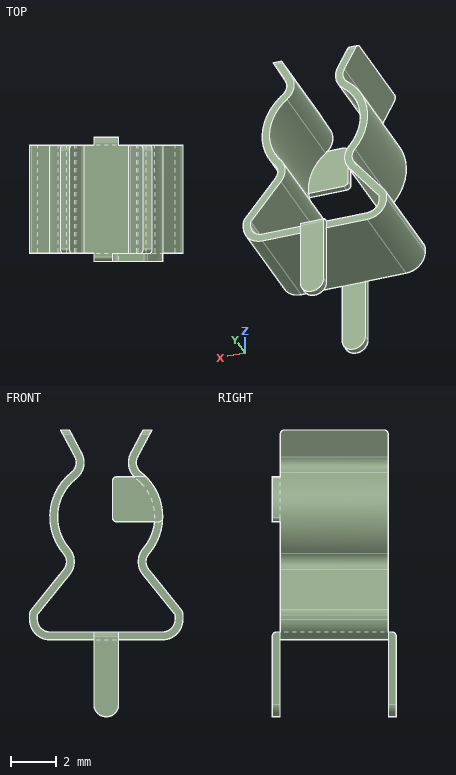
import cadquery as cq
import math

overall_height = 12.7
overall_width = 6.8
overall_depth = 5.5
thickness = 0.35
body_depth = overall_depth - 2 * thickness
edge_radius = 0.2
join_tolerance = 0.0001

pin_width = 1.1
pin_drop = 3.4
clip_top = overall_height - pin_drop

base_radius = 0.91
shoulder_radius = 0.4
neck_radius = 0.55
barrel_radius = 2.5

half_width = overall_width / 2
base_center = (half_width - base_radius, base_radius)
shoulder_center = (half_width - shoulder_radius, 1.1)
barrel_z = 5.45
lower_neck_x = 2.31
upper_neck_x = 1.88
neck_distance = barrel_radius + neck_radius
lower_neck_center = (lower_neck_x, barrel_z - math.sqrt(neck_distance**2 - lower_neck_x**2))
upper_neck_center = (upper_neck_x, barrel_z + math.sqrt(neck_distance**2 - upper_neck_x**2))

lip_tilt = 28.0
lower_neck_angle = math.degrees(math.acos(lower_neck_x / neck_distance))
upper_neck_angle = math.degrees(math.acos(upper_neck_x / neck_distance))
leg_dx = shoulder_center[0] - lower_neck_center[0]
leg_dz = lower_neck_center[1] - shoulder_center[1]
leg_tilt = math.degrees(
    math.atan2(leg_dx, leg_dz)
    + math.asin((shoulder_radius + neck_radius) / math.hypot(leg_dx, leg_dz))
)

tab_left = 0.27
tab_bottom = 5.22
tab_top = 7.23

bends = [
    (base_center, base_radius, -90, 0, 1),
    (shoulder_center, shoulder_radius, 0, leg_tilt, 1),
    (lower_neck_center, neck_radius, 180 + leg_tilt, 180 - lower_neck_angle, -1),
    ((0, barrel_z), barrel_radius, -lower_neck_angle, upper_neck_angle, 1),
    (upper_neck_center, neck_radius, 180 + upper_neck_angle, 180 - lip_tilt, -1),
]


def polar(center, radius, angle):
    a = math.radians(angle)
    return (center[0] + radius * math.cos(a), center[1] + radius * math.sin(a))


def face_arcs(depth):
    """Start, middle and end of every bend on the face lying depth inside the outer face."""
    arcs = []
    for center, radius, start, end, side in bends:
        face_radius = radius - side * depth
        angles = (start, (start + end) / 2, end)
        arcs.append([polar(center, face_radius, angle) for angle in angles])
    return arcs


def lip_end(point):
    rise = clip_top - point[1]
    return (point[0] + rise * math.tan(math.radians(lip_tilt)), clip_top)


def draw_arcs(sketch, arcs):
    """Join the bends; touching arcs follow on directly, others get a straight run between."""
    previous_end = None
    for start, middle, end in arcs:
        if previous_end is None or math.dist(previous_end, start) > join_tolerance:
            sketch = sketch.lineTo(*start)
        sketch = sketch.threePointArc(middle, end)
        previous_end = end
    return sketch


def extrude_profile(profile, front_y, depth):
    """Extrude an XZ profile from front_y toward +Y."""
    return profile.extrude(-depth).translate((0, front_y, 0))


def make_arm():
    outer = face_arcs(0)
    inner = face_arcs(thickness)
    inner_down = [arc[::-1] for arc in reversed(inner)]
    profile = draw_arcs(cq.Workplane("XZ").moveTo(0, 0), outer)
    profile = profile.lineTo(*lip_end(outer[-1][-1])).lineTo(*lip_end(inner[-1][-1]))
    profile = draw_arcs(profile, inner_down).lineTo(0, thickness).close()
    arm = extrude_profile(profile, -body_depth / 2, body_depth)
    lip_corners = arm.faces(">Z").edges("<Y or >Y")
    return lip_corners.fillet(edge_radius)


def make_pin():
    """Front solder pin with a full round tip and a rounded outer bend edge."""
    tip_z = pin_width / 2 - pin_drop
    profile = (
        cq.Workplane("XZ")
        .moveTo(-pin_width / 2, thickness)
        .lineTo(-pin_width / 2, tip_z)
        .threePointArc((0, -pin_drop), (pin_width / 2, tip_z))
        .lineTo(pin_width / 2, thickness)
        .close()
    )
    pin = extrude_profile(profile, -overall_depth / 2, thickness)
    return pin.faces(">Z").edges("<Y").fillet(edge_radius)


def make_tab():
    """Stop tab on the front edge of the +X arm, following the barrel's outer face."""
    top_x = math.sqrt(barrel_radius**2 - (tab_top - barrel_z) ** 2)
    bottom_x = math.sqrt(barrel_radius**2 - (tab_bottom - barrel_z) ** 2)
    middle = polar((0, barrel_z), barrel_radius, upper_neck_angle / 2)
    profile = (
        cq.Workplane("XZ")
        .moveTo(tab_left, tab_bottom)
        .lineTo(bottom_x, tab_bottom)
        .threePointArc(middle, (top_x, tab_top))
        .lineTo(tab_left, tab_top)
        .close()
    )
    tab = extrude_profile(profile, -overall_depth / 2, thickness)
    return tab.edges("|Y").fillet(edge_radius)


arm = make_arm()
pin = make_pin()
result = arm.union(arm.mirror("YZ")).union(pin).union(pin.mirror("XZ")).union(make_tab()).clean()